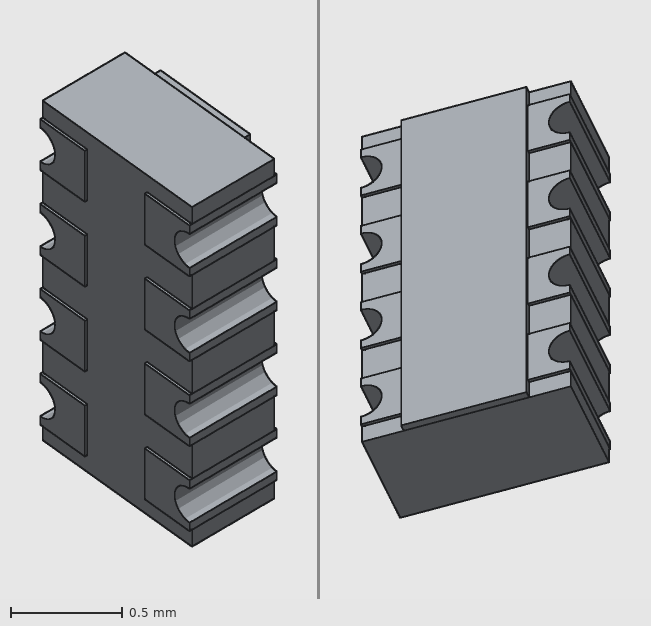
import cadquery as cq

SUBSTRATE_WIDTH = 1.0
SUBSTRATE_DEPTH = 0.5
SUBSTRATE_HEIGHT = 2.0

TERMINALS_PER_SIDE = 4
TERMINAL_PITCH = SUBSTRATE_HEIGHT / TERMINALS_PER_SIDE
TERMINAL_HEIGHT = 0.3
PLATING = 0.015
FRONT_PAD_LENGTH = 0.3
NOTCH_RADIUS = 0.1

COAT_WIDTH = 0.6
COAT_STEP = 0.02
COAT_THICKNESS = PLATING + COAT_STEP

SIDE_X = SUBSTRATE_WIDTH / 2
FRONT_Y = -SUBSTRATE_DEPTH / 2
BACK_Y = SUBSTRATE_DEPTH / 2
BACK_PAD_LENGTH = (SUBSTRATE_WIDTH - COAT_WIDTH) / 2
LOWEST_TERMINAL_Z = -TERMINAL_PITCH * (TERMINALS_PER_SIDE - 1) / 2
TERMINAL_PLACES = [
    (side, LOWEST_TERMINAL_Z + row * TERMINAL_PITCH)
    for side in (-1, 1)
    for row in range(TERMINALS_PER_SIDE)
]


def block(x_size, y_start, y_end, z_size, x, z):
    """Box centred on x and z that runs from y_start to y_end."""
    y_size = y_end - y_start
    return cq.Workplane("XY").box(x_size, y_size, z_size).translate((x, y_start + y_size / 2, z))


def edge_cylinder(side, z, radius, y_start, y_end):
    """Cylinder along Y whose axis lies on a side face of the substrate."""
    return (
        cq.Workplane("XZ", origin=(side * SIDE_X, y_start, z))
        .circle(radius)
        .extrude(y_start - y_end)
    )


def side_recess(side, z):
    """Room taken from the substrate by one terminal's side wall and its notch."""
    strip = block(PLATING, FRONT_Y, BACK_Y, TERMINAL_HEIGHT, side * (SIDE_X - PLATING / 2), z)
    bore = edge_cylinder(side, z, NOTCH_RADIUS + PLATING, FRONT_Y, BACK_Y)
    substrate_block = block(SUBSTRATE_WIDTH, FRONT_Y, BACK_Y, SUBSTRATE_HEIGHT, 0, 0)
    return strip.union(bore.intersect(substrate_block))


def pad(side, z, length, y_start, y_end):
    """Flat pad that reaches inward from a side face."""
    return block(length, y_start, y_end, TERMINAL_HEIGHT, side * (SIDE_X - length / 2), z)


def make_substrate():
    """Ceramic block with a recess for every terminal's side wall."""
    substrate = block(SUBSTRATE_WIDTH, FRONT_Y, BACK_Y, SUBSTRATE_HEIGHT, 0, 0)
    for side, z in TERMINAL_PLACES:
        substrate = substrate.cut(side_recess(side, z))
    return substrate


def make_terminal(side, z):
    """Front and back pads joined by a thin side wall that lines the half-round notch."""
    front_pad = pad(side, z, FRONT_PAD_LENGTH, FRONT_Y - PLATING, FRONT_Y)
    back_pad = pad(side, z, BACK_PAD_LENGTH, BACK_Y, BACK_Y + PLATING)
    notch = edge_cylinder(side, z, NOTCH_RADIUS, FRONT_Y - PLATING, BACK_Y + PLATING)
    return side_recess(side, z).union(front_pad).union(back_pad).cut(notch)


def make_coat():
    """Flat protective layer over the full height of the back face."""
    return block(COAT_WIDTH, BACK_Y, BACK_Y + COAT_THICKNESS, SUBSTRATE_HEIGHT, 0, 0)


substrate = make_substrate()
terminals = [make_terminal(side, z) for side, z in TERMINAL_PLACES]
coat = make_coat()

result = cq.Compound.makeCompound([
    *substrate.solids().vals(),
    *[terminal.solids().val() for terminal in terminals],
    coat.val(),
])